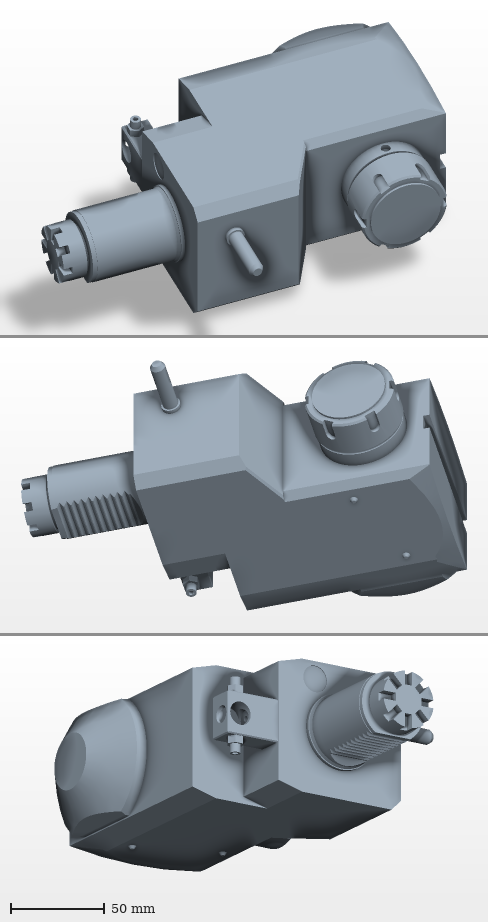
import cadquery as cq
import math


half_height = 37.5
front_half_width = 39.0
main_left_x = -71.5
main_right_x = 9.0
main_front_y = 34.5
back_y = 156.0
slope_start_y = 58.5
slope_end_y = 75.0
slope_edge_chamfer = 1.2
side_bevel_width = 15.0
side_bevel_angle = 15.0
side_bevel_drop = side_bevel_width * math.tan(math.radians(side_bevel_angle))
front_right_chamfer = 6.0
main_right_chamfer = 4.2

back_taper_length = 13.0
back_crown_drop = 0.7
back_corner_drop = 4.0
taper_crown_x = -19.0
taper_start_rise = 1.8
taper_start_left_drop = 2.8
taper_start_right_drop = 0.3
back_slot_width = 10.0
back_slot_depth = 3.5

spindle_y = 119.5
cap_radius = 39.7
cap_nose_radius = 15.8
cap_disc_length = 6.2
cap_nose_x = -94.6
cap_back_distance = 31.7
cap_half_height = 32.7
cap_corner_chamfer = 8.0
cap_rim_length = 2.5
collar_radius = 24.1
collar_end_x = 17.3
neck_radius = 20.7
nut_radius = 24.75
nut_start_x = 19.5
nut_end_x = 40.3
nut_edge_chamfer = 1.0
nut_lip_radius = 20.2
nut_lip_end_x = 41.6
nut_slot_count = 6
nut_slot_width = 6.0
nut_slot_length = 11.7
nut_slot_depth = 2.5
collar_hole_diameter = 5.4
collar_hole_depth = 3.0
collar_hole_x = 13.2

flange_radius = 21.4
flange_length = 2.2
flange_step_radius = 20.8
flange_taper_end = 3.9
shank_radius = 20.0
shank_length = 50.0
end_ring_radius = 19.7
end_ring_length = 2.6
shank_neck_radius = 13.8
collet_nut_start = 54.3
collet_nut_radius = 16.0
tool_end = 68.0
collet_slot_count = 8
collet_slot_width = 4.5
collet_slot_depth = 5.0
collet_face_radius = 8.1
flat_z = -16.3
flat_start = 8.7
tooth_pitch = 4.0
tooth_count = 10
tooth_first = 11.5
tooth_opening = 3.4
tooth_depth = 1.6

pin_y = 21.2
pin_z = 15.7
pin_radius = 4.15
pin_end_x = 71.9
pin_tip_length = 2.3
pin_tip_inset = 1.6
pin_collar_radius = 5.2
pin_collar_length = 2.3

bracket_left_x = -70.5
bracket_front_y = 0.7
bracket_back_y = 15.8
bracket_half_height = 12.1
bracket_edge_chamfer = 0.7
front_hole_diameter = 13.0
front_hole_depth = 12.0
bracket_hole_x = -62.8
side_hole_diameter = 9.8
side_hole_y = 7.6
side_hole_depth = 15.5
coolant_passage_diameter = 3.2
screw_y = 5.9
screw_hex_width = 9.3
screw_hex_height = 4.2
screw_stud_diameter = 5.8
screw_stud_height = 9.1
screw_socket_width = 3.4
screw_socket_depth = 2.0

disc_recess_diameter = 14.9
disc_recess_depth = 0.5
disc_recess_x = -15.7
disc_recess_z = 27.5
button_height = 1.6
button_base_radius = 2.2
button_top_radius = 1.0
button_places = [(-49.6, 128.1), (-2.8, 111.2)]


def prism_along_y(points, start_y, end_y):
    """Extrude an XZ outline from start_y to end_y."""
    return cq.Workplane("XZ", origin=(0, start_y, 0)).polyline(points).close().extrude(start_y - end_y)


def cylinder_along_x(radius, start_x, end_x, y, z):
    return cq.Workplane("YZ", origin=(start_x, y, z)).circle(radius).extrude(end_x - start_x)


def bevelled_outline(left, right, bevel_width, bevel_drop, chamfer):
    """XZ section with a shallow bevel on the left and 45 degree chamfers on the right."""
    upper = [
        (left, half_height - bevel_drop),
        (left + bevel_width, half_height),
        (right - chamfer, half_height),
        (right, half_height - chamfer),
    ]
    lower = [(x, -z) for x, z in reversed(upper)]
    return upper + lower


def crowned_section(workplane, left_z, right_z, crown_x, crown_z):
    """Section of the main block whose top and bottom are shallow arcs."""
    return (
        workplane.moveTo(main_left_x, -left_z)
        .lineTo(main_left_x, left_z)
        .threePointArc((crown_x, crown_z), (main_right_x, right_z))
        .lineTo(main_right_x, -right_z)
        .threePointArc((crown_x, -crown_z), (main_left_x, -left_z))
        .close()
    )


def make_main_block():
    outline = bevelled_outline(
        main_left_x, main_right_x, side_bevel_width, side_bevel_drop, main_right_chamfer
    )
    taper_start_y = back_y - back_taper_length
    straight = prism_along_y(outline, main_front_y, taper_start_y)
    tail = prism_along_y(outline, taper_start_y, back_y)

    start = crowned_section(
        cq.Workplane("XZ", origin=(0, taper_start_y, 0)),
        half_height - taper_start_left_drop,
        half_height - taper_start_right_drop,
        taper_crown_x,
        half_height + taper_start_rise,
    )
    taper = crowned_section(
        start.workplane(offset=-back_taper_length),
        half_height - back_corner_drop,
        half_height - back_corner_drop,
        (main_left_x + main_right_x) / 2,
        half_height - back_crown_drop,
    ).loft(ruled=True)

    slot = cq.Workplane("XY").box(
        2 * (main_right_x - main_left_x), 2 * back_slot_depth, back_slot_width
    ).translate((main_left_x, back_y, 0))
    return straight.union(tail.intersect(taper)).cut(slot)


def make_front_block():
    outline = bevelled_outline(
        -front_half_width, front_half_width, side_bevel_width, side_bevel_drop, front_right_chamfer
    )
    block = prism_along_y(outline, 0, slope_end_y)
    plan = [
        (-front_half_width, 0),
        (front_half_width, 0),
        (front_half_width, slope_start_y),
        (main_right_x, slope_end_y),
        (-front_half_width, slope_end_y),
    ]
    trimmed = block.intersect(
        cq.Workplane("XY").polyline(plan).close().extrude(half_height, both=True)
    )
    slope_run = (front_half_width - main_right_x, slope_start_y - slope_end_y)
    slope_normal = cq.Vector(-slope_run[1], slope_run[0], 0)
    slope_face = trimmed.faces(cq.selectors.DirectionNthSelector(slope_normal, -1))
    slope_edges = slope_face.edges(cq.selectors.ParallelDirSelector(cq.Vector(*slope_run, 0)))
    return slope_edges.chamfer(slope_edge_chamfer)


def make_cap():
    """Truncated cone on the left, cut flat toward the back and bevelled above and below."""
    disc_x = main_left_x - cap_disc_length
    half_profile = [
        (main_left_x, 0),
        (main_left_x, cap_radius),
        (disc_x, cap_radius),
        (cap_nose_x, cap_nose_radius),
        (cap_nose_x, 0),
    ]
    cone = (
        cq.Workplane("XY", origin=(0, spindle_y, 0))
        .polyline(half_profile)
        .close()
        .revolve(360, (0, 0, 0), (1, 0, 0))
    )
    rim_x = main_left_x - cap_rim_length
    nose_drop = (rim_x - cap_nose_x) * math.tan(math.radians(side_bevel_angle))
    upper = [
        (main_left_x, cap_half_height),
        (rim_x, cap_half_height),
        (cap_nose_x, cap_half_height - nose_drop),
    ]
    outline = upper + [(x, -z) for x, z in reversed(upper)]
    bevels = prism_along_y(outline, spindle_y - cap_radius, spindle_y + cap_back_distance)
    corner = cap_half_height - cap_corner_chamfer
    end_y = cap_back_distance - cap_corner_chamfer
    back_outline = [
        (-cap_radius, cap_half_height),
        (end_y, cap_half_height),
        (cap_back_distance, corner),
        (cap_back_distance, -corner),
        (end_y, -cap_half_height),
        (-cap_radius, -cap_half_height),
    ]
    back_cut = (
        cq.Workplane("YZ", origin=(cap_nose_x, spindle_y, 0))
        .polyline(back_outline)
        .close()
        .extrude(main_left_x - cap_nose_x)
    )
    return cone.intersect(bevels).intersect(back_cut)


def make_spindle():
    collar = cylinder_along_x(collar_radius, main_right_x, collar_end_x, spindle_y, 0)
    neck = cylinder_along_x(neck_radius, main_right_x, nut_start_x, spindle_y, 0)
    lip = cylinder_along_x(nut_lip_radius, nut_start_x, nut_lip_end_x, spindle_y, 0)
    nut = cylinder_along_x(nut_radius, nut_start_x, nut_end_x, spindle_y, 0)
    nut = nut.faces(">X").edges().chamfer(nut_edge_chamfer)

    slot_round_x = nut_end_x - nut_slot_length + nut_slot_width / 2
    slot_floor = nut_radius - nut_slot_depth
    slot = (
        cq.Workplane("XY", origin=(0, spindle_y, slot_floor))
        .moveTo(nut_end_x, nut_slot_width / 2)
        .lineTo(slot_round_x, nut_slot_width / 2)
        .threePointArc((slot_round_x - nut_slot_width / 2, 0), (slot_round_x, -nut_slot_width / 2))
        .lineTo(nut_end_x, -nut_slot_width / 2)
        .close()
        .extrude(2 * nut_slot_depth)
    )
    slot_step = 360 / nut_slot_count
    for index in range(nut_slot_count):
        angle = (index + 0.5) * slot_step
        nut = nut.cut(slot.rotate((0, spindle_y, 0), (1, spindle_y, 0), angle))

    screw_hole = (
        cq.Workplane("XY", origin=(collar_hole_x, spindle_y, collar_radius - collar_hole_depth))
        .circle(collar_hole_diameter / 2)
        .extrude(2 * collar_hole_depth)
    )
    return collar.cut(screw_hole).union(neck).union(nut).union(lip)


def make_shank():
    half_profile = [
        (0, 0),
        (flange_radius, 0),
        (flange_radius, -flange_length),
        (flange_step_radius, -flange_length),
        (shank_radius, -flange_taper_end),
        (shank_radius, -shank_length),
        (end_ring_radius, -shank_length),
        (end_ring_radius, -(shank_length + end_ring_length)),
        (shank_neck_radius, -(shank_length + end_ring_length)),
        (shank_neck_radius, -collet_nut_start),
        (collet_nut_radius, -collet_nut_start),
        (collet_nut_radius, -tool_end),
        (0, -tool_end),
    ]
    shank = cq.Workplane("XY").polyline(half_profile).close().revolve(360, (0, 0, 0), (0, 1, 0))
    return cut_collet_slots(cut_serrated_flat(shank))


def cut_serrated_flat(shank):
    """Flat on the underside with a 45 degree run-out and V grooves across X."""
    flat_depth = flange_radius + flat_z
    flat = [
        (-flat_start, flat_z),
        (-collet_nut_start, flat_z),
        (-collet_nut_start, flat_z - flat_depth),
        (flat_depth - flat_start, flat_z - flat_depth),
    ]
    side = cq.Workplane("YZ")
    shank = shank.cut(side.polyline(flat).close().extrude(flange_radius, both=True))
    for index in range(tooth_count):
        middle = -(tooth_first + index * tooth_pitch)
        groove = [
            (middle - tooth_opening / 2, flat_z),
            (middle, flat_z + tooth_depth),
            (middle + tooth_opening / 2, flat_z),
        ]
        shank = shank.cut(side.polyline(groove).close().extrude(flange_radius, both=True))
    return shank


def cut_collet_slots(shank):
    """Radial wrench slots in the end face, outside the plain centre disc."""
    for index in range(collet_slot_count):
        slot = (
            cq.Workplane("XY")
            .box(collet_nut_radius, collet_slot_depth, collet_slot_width, centered=(False, False, True))
            .translate((collet_face_radius, -tool_end, 0))
            .rotate((0, 0, 0), (0, 1, 0), index * 360 / collet_slot_count)
        )
        shank = shank.cut(slot)
    centre = cq.Workplane("XZ", origin=(0, -tool_end, 0)).circle(collet_face_radius)
    return shank.union(centre.extrude(-collet_slot_depth))


def make_pin():
    half_profile = [
        (front_half_width, 0),
        (front_half_width, pin_collar_radius),
        (front_half_width + pin_collar_length, pin_collar_radius),
        (front_half_width + pin_collar_length, pin_radius),
        (pin_end_x - pin_tip_length, pin_radius),
        (pin_end_x, pin_radius - pin_tip_inset),
        (pin_end_x, 0),
    ]
    pin = cq.Workplane("XY").polyline(half_profile).close().revolve(360, (0, 0, 0), (1, 0, 0))
    return pin.translate((0, pin_y, pin_z))


def make_bracket():
    bracket = cq.Workplane("XY").box(
        -front_half_width - bracket_left_x,
        bracket_back_y - bracket_front_y,
        2 * bracket_half_height,
        centered=(False, False, True),
    ).translate((bracket_left_x, bracket_front_y, 0))
    bracket = bracket.edges("(<X and (not >Y)) or (<Y and |X)").chamfer(bracket_edge_chamfer)

    front_hole = (
        cq.Workplane("XZ", origin=(bracket_hole_x, bracket_front_y, 0))
        .circle(front_hole_diameter / 2)
        .extrude(-front_hole_depth)
    )
    side_hole_end_x = bracket_left_x + side_hole_depth
    side_hole = cylinder_along_x(side_hole_diameter / 2, bracket_left_x, side_hole_end_x, side_hole_y, 0)
    passage = cylinder_along_x(
        coolant_passage_diameter / 2, side_hole_end_x, -front_half_width, side_hole_y, 0
    )
    bracket = bracket.cut(front_hole).cut(side_hole).cut(passage)

    screw = (
        cq.Workplane("XY", origin=(bracket_hole_x, screw_y, bracket_half_height))
        .polygon(6, screw_hex_width)
        .extrude(screw_hex_height)
        .faces(">Z")
        .workplane()
        .circle(screw_stud_diameter / 2)
        .extrude(screw_stud_height - screw_hex_height)
        .faces(">Z")
        .workplane()
        .polygon(6, screw_socket_width)
        .cutBlind(-screw_socket_depth)
    )
    return bracket.union(screw).union(screw.mirror("XY"))


def make_button(x, y):
    """Small tapered button under the housing."""
    return (
        cq.Workplane("XY", origin=(x, y, -half_height))
        .circle(button_base_radius)
        .workplane(offset=-button_height)
        .circle(button_top_radius)
        .loft()
    )


def make_disc_recess():
    return (
        cq.Workplane("XZ", origin=(disc_recess_x, 0, disc_recess_z))
        .circle(disc_recess_diameter / 2)
        .extrude(-disc_recess_depth)
    )


result = make_main_block().union(make_front_block()).cut(make_disc_recess())
for feature in (make_cap(), make_spindle(), make_shank(), make_pin(), make_bracket()):
    result = result.union(feature)
for button_x, button_y in button_places:
    result = result.union(make_button(button_x, button_y))